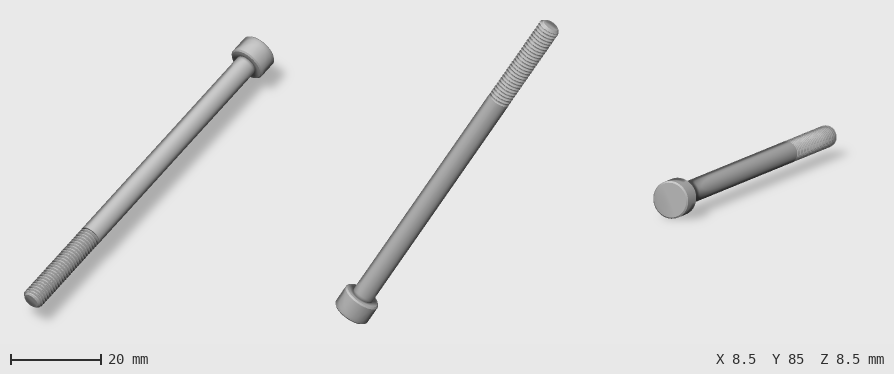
import cadquery as cq
import math

total_length = 85.0
head_diameter = 8.5
head_length = 5.0
head_edge = 0.3
shank_diameter = 5.0
thread_length = 22.0
thread_pitch = 0.8
tip_chamfer = 0.7

shank_radius = shank_diameter / 2
shank_length = total_length - head_length
plain_length = shank_length - thread_length

flank_slope = math.tan(math.radians(30))
sharp_height = thread_pitch / (2 * flank_slope)
thread_depth = 5 / 8 * sharp_height
root_half_width = thread_pitch / 8
thread_runout = 1.5 * thread_pitch
bar_allowance = 2.55
envelope_diameter = 5.95
cutter_overshoot = 0.04


def make_cylinder(diameter, start_y, end_y):
    """Cylinder on the Y axis from start_y down to end_y."""
    return cq.Workplane("XZ", origin=(0, start_y, 0)).circle(diameter / 2).extrude(start_y - end_y)


def make_head():
    """Cylindrical head with both rims chamfered."""
    return make_cylinder(head_diameter, head_length, 0).edges("%CIRCLE").chamfer(head_edge)


def make_thread_cutter():
    """Right-handed V groove that runs out past both ends of the thread."""
    start_y = thread_runout - plain_length
    helix_length = thread_length + 2 * thread_runout
    root_radius = shank_radius - thread_depth
    mouth_radius = shank_radius + cutter_overshoot
    mouth_half_width = root_half_width + (thread_depth + cutter_overshoot) * flank_slope

    section = [
        (root_radius, -root_half_width),
        (mouth_radius, -mouth_half_width),
        (mouth_radius, mouth_half_width),
        (root_radius, root_half_width),
    ]
    helices = [
        cq.Wire.makeHelix(
            thread_pitch,
            helix_length,
            radius,
            center=cq.Vector(0, start_y + offset, 0),
            dir=cq.Vector(0, -1, 0),
        )
        for radius, offset in section
    ]
    sides = [
        cq.Face.makeRuledSurface(helix, helices[index - 1])
        for index, helix in enumerate(helices)
    ]
    first_end = cq.Wire.makePolygon([helix.startPoint() for helix in helices], close=True)
    last_end = cq.Wire.makePolygon([helix.endPoint() for helix in helices], close=True)
    ends = [cq.Face.makeFromWires(first_end), cq.Face.makeFromWires(last_end)]
    cutter = cq.Solid.makeSolid(cq.Shell.makeShell(sides + ends))
    return cq.Workplane(obj=cutter.fix())


def make_threaded_end():
    """Threaded length of the shank, trimmed from a longer bar, with a chamfered tip."""
    long_bar = make_cylinder(
        shank_diameter, bar_allowance - plain_length, -shank_length - bar_allowance
    )
    envelope = make_cylinder(envelope_diameter, -plain_length, -shank_length)
    envelope = envelope.faces("<Y").chamfer(tip_chamfer + (envelope_diameter - shank_diameter) / 2)
    return long_bar.cut(make_thread_cutter()).intersect(envelope)


plain_shank = make_cylinder(shank_diameter, 0, -plain_length)
result = make_head().union(plain_shank).union(make_threaded_end()).solids()